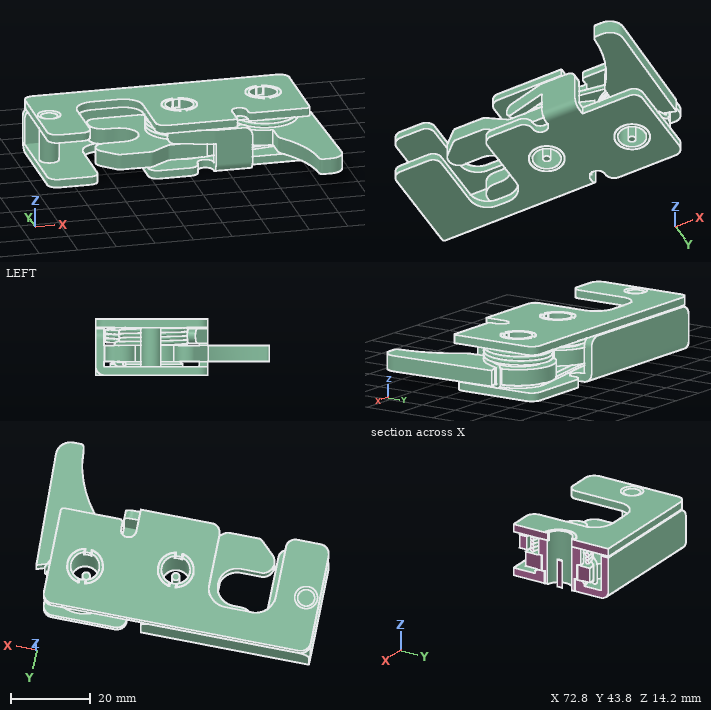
import cadquery as cq
import math


SHEET = 2.2
PLATE_LENGTH = 68.45
PLATE_DEPTH = 28.25
OVERALL_HEIGHT = 14.2
COVER_Z = OVERALL_HEIGHT - SHEET
CORNER_R = 2.55
COVER_STEP_DEPTH = 24.8
BASE_STEP_DEPTH = 24.25
SMALL_CORNER_R = 0.9

COVER_SLOT_BACK = 7.5
BASE_SLOT_BACK = 5.9
SLOT_R = 5.1
SLOT_MOUTH_R = 2.4
COVER_SLOT = (11.0, 28.0)
BASE_SLOT = (12.95, 26.15)

WALL_TOP = 11.7
WALL_RIGHT = 43.1
WALL_CORNER_R = 2.6
TAB_LEFT = 43.1
TAB_RIGHT = 52.6
TAB_CORNER_R = 2.2
INNER_BEND_R = 0.15
OUTER_BEND_R = SHEET + INNER_BEND_R
RELIEF_WIDTH = 4.1
RELIEF_LENGTH = 4.9
ARM_BOTTOM = 8.0
ARM_BEND_X = 42.4
ARM_END_X = 31.25
ARM_ANGLE = 15.2

NOTCH_LEFT = 48.7
NOTCH_BACK = 20.5

CAM_PIVOT = (37.0, -14.6)
LEVER_PIVOT = (59.6, -11.1)
PIVOTS = [CAM_PIVOT, LEVER_PIVOT]
BOSS_BASE_R = 7.4
BOSS_TOP_R = 6.7
BOSS_STRAIGHT = 0.6
BEARING_Z = 3.4
CAM_THICKNESS = 4.1
CAM_TOP = BEARING_Z + CAM_THICKNESS

BUSHING_BORE = 7.2
BUSHING_NECK = 8.9
NECK_HOLE = 9.1
BUSHING_BODY = 10.5
BODY_HOLE = 10.8
BUSHING_COLLAR = 12.7
BUSHING_SLOT = 2.05
KEY_WIDTH = 1.5

POST_AT = (3.4, -13.9)
POST_DIAMETER = 5.0
POST_NECK = 4.3
SINK_DIAMETER = 5.75
SINK_DEPTH = 0.3

PIN_DIAMETER = 2.0
PIN_POINTS = [CAM_PIVOT, (59.1, -10.35)]

HOOK_R = 4.9
HOOK_CENTRE = (21.3, -14.85)
JAW_LEFT = 15.5
JAW_BACK = 2.3
JAW_TIP_R = 3.85
JAW_BACK_R = 2.55
CAM_FRONT = 28.4
CAM_TIP_R = 1.6
CAM_STEP_R = 1.1
CAM_HUB_R = 9.1

LEVER_HUB_R = 9.6
LEVER_GAP = 0.2
LEVER_TIP_DEPTH = 43.8
LEVER_RIGHT = 72.8
LEVER_TIP_R = 3.8
LEVER_TOE_R = 0.9
LEVER_HEEL_R = 2.2
WIRE_NOTCH = 1.75

WIRE = 1.0
COIL_R = 8.2
COIL_STEP = 20.0
COIL_TURNS = 3
COIL_TOP_Z = COVER_Z - WIRE / 2
LEG_Z = CAM_TOP + WIRE / 2
HOOK_Z = (SHEET + BEARING_Z) / 2
CAM_LEG_ANGLE = 137.0
LEVER_LEG_ANGLE = -28.6
LEG_LENGTH = 5.25
HOOK_LENGTH = 2.9
HOOK_BEND_R = 0.7


def sheet_slot(left, right, back, z):
    """Striker slot with rounded inner corners and flared mouth corners, to cut from a sheet."""
    slot = (
        cq.Workplane("XY", origin=(0, 0, z))
        .moveTo(left - SLOT_MOUTH_R, -PLATE_DEPTH)
        .radiusArc((left, -PLATE_DEPTH + SLOT_MOUTH_R), -SLOT_MOUTH_R)
        .lineTo(left, -back - SLOT_R)
        .radiusArc((left + SLOT_R, -back), SLOT_R)
        .lineTo(right - SLOT_R, -back)
        .radiusArc((right, -back - SLOT_R), SLOT_R)
        .lineTo(right, -PLATE_DEPTH + SLOT_MOUTH_R)
        .radiusArc((right + SLOT_MOUTH_R, -PLATE_DEPTH), -SLOT_MOUTH_R)
        .close()
        .extrude(SHEET)
    )
    return slot


def disc(point, diameter, z, height):
    return cq.Workplane("XY", origin=(*point, z)).circle(diameter / 2).extrude(height)


def box(left, right, back, front, bottom, top):
    """Box given by its limits; back and front are depths behind the housing's back face."""
    size = (right - left, front - back, top - bottom)
    return cq.Workplane("XY").box(*size, centered=False).translate((left, -front, bottom))


def boss():
    """Raised pad under both pivots: an oblong with a straight foot and a sloping rim."""
    dx = LEVER_PIVOT[0] - CAM_PIVOT[0]
    dy = LEVER_PIVOT[1] - CAM_PIVOT[1]
    length = math.hypot(dx, dy)
    foot = (
        cq.Workplane("XY")
        .slot2D(length + 2 * BOSS_BASE_R, 2 * BOSS_BASE_R)
        .extrude(BEARING_Z - SHEET)
    )
    rim_height = BEARING_Z - SHEET - BOSS_STRAIGHT
    pad = foot.faces(">Z").chamfer(rim_height, BOSS_BASE_R - BOSS_TOP_R)
    pad = pad.rotate((0, 0, 0), (0, 0, 1), math.degrees(math.atan2(dy, dx)))
    middle = ((CAM_PIVOT[0] + LEVER_PIVOT[0]) / 2, (CAM_PIVOT[1] + LEVER_PIVOT[1]) / 2)
    return pad.translate((*middle, SHEET))


def stop_arm():
    """Arm bent inwards from the tab's left edge, with a round end."""
    angle = math.radians(ARM_ANGLE)
    height = WALL_TOP - ARM_BOTTOM
    outer_r = (TAB_LEFT - ARM_BEND_X) / math.sin(angle)
    inner_r = outer_r - SHEET
    bend_y = outer_r - PLATE_DEPTH
    length = (ARM_BEND_X - ARM_END_X) / math.cos(angle)

    def on_bend(radius, turn):
        return (TAB_LEFT - radius * math.sin(turn), bend_y - radius * math.cos(turn))

    def along_arm(radius):
        x, y = on_bend(radius, angle)
        return (x - length * math.cos(angle), y + length * math.sin(angle))

    arm = (
        cq.Workplane("XY", origin=(0, 0, ARM_BOTTOM))
        .moveTo(TAB_LEFT, -PLATE_DEPTH)
        .threePointArc(on_bend(outer_r, angle / 2), on_bend(outer_r, angle))
        .lineTo(*along_arm(outer_r))
        .lineTo(*along_arm(inner_r))
        .lineTo(*on_bend(inner_r, angle))
        .threePointArc(on_bend(inner_r, angle / 2), on_bend(inner_r, 0))
        .close()
        .extrude(height)
    )
    end_edges = cq.selectors.BoxSelector(
        (ARM_END_X - SHEET, -PLATE_DEPTH, 0), (ARM_END_X + SHEET, 0, OVERALL_HEIGHT)
    )
    return arm.edges("not |Z").edges(end_edges).fillet(0.99 * height / 2)


def bend_relief():
    """Notch beside the tab: a round inner end and a rounded outer corner."""
    left = TAB_LEFT - RELIEF_WIDTH
    round_y = -PLATE_DEPTH + RELIEF_LENGTH - RELIEF_WIDTH / 2
    return (
        cq.Workplane("XY")
        .moveTo(left - CORNER_R, -PLATE_DEPTH)
        .radiusArc((left, -PLATE_DEPTH + CORNER_R), -CORNER_R)
        .lineTo(left, round_y)
        .radiusArc((TAB_LEFT, round_y), RELIEF_WIDTH / 2)
        .lineTo(TAB_LEFT, -PLATE_DEPTH)
        .close()
        .extrude(SHEET)
    )


def round_bend(sheet, left, right, y, z, radius):
    """Round the edge of a bend that runs along X at the given y and z."""
    reach = 0.1
    edge = cq.selectors.BoxSelector(
        (left, y - reach, z - reach), (right, y + reach, z + reach)
    )
    return sheet.edges("|X").edges(edge).fillet(radius)


def make_housing():
    base = box(0, PLATE_LENGTH, 0, PLATE_DEPTH, 0, SHEET)
    base = base.cut(box(TAB_RIGHT, PLATE_LENGTH, BASE_STEP_DEPTH, PLATE_DEPTH, 0, SHEET))
    base = base.edges("|Z").edges("<X").edges("<Y").fillet(CORNER_R)
    base = base.edges("|Z").edges(">X").fillet(CORNER_R)
    base = base.cut(sheet_slot(*BASE_SLOT, BASE_SLOT_BACK, 0))
    base = base.cut(bend_relief())
    wall_relief = bend_relief().rotate((0, 0, 0), (0, 0, 1), 180)
    base = base.cut(wall_relief.translate((WALL_RIGHT + TAB_LEFT, -PLATE_DEPTH, 0)))

    wall = box(0, WALL_RIGHT, 0, SHEET, 0, WALL_TOP).edges("|Y and >Z").fillet(WALL_CORNER_R)
    tab = box(TAB_LEFT, TAB_RIGHT, PLATE_DEPTH - SHEET, PLATE_DEPTH, 0, WALL_TOP)
    tab = tab.edges("|Y and >Z and >X").fillet(TAB_CORNER_R)
    housing = base.union(wall).union(tab)

    housing = round_bend(housing, 0, WALL_RIGHT, -SHEET, SHEET, INNER_BEND_R)
    housing = round_bend(housing, 0, WALL_RIGHT, 0, 0, OUTER_BEND_R)
    housing = round_bend(housing, TAB_LEFT, TAB_RIGHT, SHEET - PLATE_DEPTH, SHEET, INNER_BEND_R)
    housing = round_bend(housing, TAB_LEFT, TAB_RIGHT, -PLATE_DEPTH, 0, OUTER_BEND_R)

    housing = housing.union(stop_arm()).union(boss())
    for pivot in PIVOTS:
        housing = housing.cut(disc(pivot, NECK_HOLE, 0, BEARING_Z))
    return housing


def make_cover():
    cover = box(0, PLATE_LENGTH, 0, PLATE_DEPTH, COVER_Z, OVERALL_HEIGHT)
    cover = cover.cut(box(TAB_RIGHT, PLATE_LENGTH, COVER_STEP_DEPTH, PLATE_DEPTH, COVER_Z, OVERALL_HEIGHT))
    cover = cover.edges("|Z and <X").fillet(CORNER_R)
    cover = cover.edges("|Z").edges(">X").edges(">Y").fillet(CORNER_R)
    cover = cover.edges("|Z").edges(">X").edges("<Y").fillet(SMALL_CORNER_R)
    cover = cover.cut(sheet_slot(*COVER_SLOT, COVER_SLOT_BACK, COVER_Z))

    notch_r = (TAB_RIGHT - NOTCH_LEFT) / 2
    notch = box(NOTCH_LEFT, TAB_RIGHT, NOTCH_BACK, PLATE_DEPTH, COVER_Z, OVERALL_HEIGHT)
    cover = cover.cut(notch.edges("|Z and >Y").fillet(notch_r * 0.99))
    step_corner = cq.selectors.BoxSelector(
        (TAB_RIGHT - 0.7, -COVER_STEP_DEPTH - 0.7, 0), (TAB_RIGHT + 0.7, -COVER_STEP_DEPTH + 0.7, OVERALL_HEIGHT)
    )
    cover = cover.edges("|Z").edges(step_corner).fillet(SMALL_CORNER_R)

    for pivot in PIVOTS:
        hole = disc(pivot, NECK_HOLE, COVER_Z, SHEET)
        keys = cq.Workplane("XY", origin=(*pivot, COVER_Z)).rect(KEY_WIDTH, NECK_HOLE).extrude(SHEET)
        keys = keys.cut(disc(pivot, BUSHING_BORE, COVER_Z, SHEET))
        cover = cover.cut(hole.cut(keys))

    cover = cover.cut(disc(POST_AT, POST_NECK, COVER_Z, SHEET))
    sink = cq.Solid.makeCone(
        POST_NECK / 2, SINK_DIAMETER / 2, SINK_DEPTH,
        pnt=cq.Vector(*POST_AT, OVERALL_HEIGHT - SINK_DEPTH),
    )
    return cover.cut(cq.Workplane(sink))


def make_post():
    post = disc(POST_AT, POST_DIAMETER, SHEET, COVER_Z - SHEET)
    return post.union(disc(POST_AT, POST_NECK, COVER_Z, SHEET - SINK_DEPTH))


def make_bushing(pivot):
    """Stepped hollow pivot, slotted at its top for the cover's keys."""
    bushing = disc(pivot, BUSHING_NECK, 0, OVERALL_HEIGHT)
    bushing = bushing.union(disc(pivot, BUSHING_BODY, BEARING_Z, COVER_Z - BEARING_Z))
    bushing = bushing.union(disc(pivot, BUSHING_COLLAR, CAM_TOP, COVER_Z - CAM_TOP))
    bushing = bushing.cut(disc(pivot, BUSHING_BORE, 0, OVERALL_HEIGHT))
    slots = cq.Workplane("XY", origin=(*pivot, COVER_Z)).rect(BUSHING_SLOT, NECK_HOLE).extrude(SHEET)
    return bushing.cut(slots)


def make_pin(point):
    return disc(point, PIN_DIAMETER, 0, CAM_TOP)


def make_cam():
    hook_x, hook_y = HOOK_CENTRE
    cam = (
        cq.Workplane("XY", origin=(0, 0, BEARING_Z))
        .moveTo(hook_x, hook_y - HOOK_R)
        .threePointArc((hook_x + HOOK_R, hook_y), (hook_x, hook_y + HOOK_R))
        .lineTo(JAW_LEFT + JAW_TIP_R, hook_y + HOOK_R)
        .radiusArc((JAW_LEFT, hook_y + HOOK_R + JAW_TIP_R), JAW_TIP_R)
        .lineTo(JAW_LEFT, -JAW_BACK - JAW_BACK_R)
        .radiusArc((JAW_LEFT + JAW_BACK_R, -JAW_BACK), JAW_BACK_R)
        .lineTo(30.2, -JAW_BACK)
        .lineTo(33.85, -5.8)
        .lineTo(45.15, -10.2)
        .lineTo(53.95, -20.3)
        .lineTo(41.65, -24.75)
        .lineTo(31.7, -24.75)
        .lineTo(26.6, -CAM_FRONT)
        .lineTo(17.9, -CAM_FRONT)
        .lineTo(14.05, -24.7)
        .threePointArc((13.3, -22.3), (15.7, hook_y - HOOK_R))
        .close()
        .extrude(CAM_THICKNESS)
    )
    step = cq.selectors.NearestToPointSelector((31.7, -24.75, BEARING_Z + CAM_THICKNESS / 2))
    cam = cam.edges("|Z").edges(step).fillet(CAM_STEP_R)
    cam = cam.edges("|Z and <Y").fillet(CAM_TIP_R)
    cam = cam.union(disc(CAM_PIVOT, 2 * CAM_HUB_R, BEARING_Z, CAM_THICKNESS))
    cam = cam.cut(disc(LEVER_PIVOT, 2 * (LEVER_HUB_R + LEVER_GAP), BEARING_Z, CAM_THICKNESS))
    return cam.cut(disc(CAM_PIVOT, BODY_HOLE, BEARING_Z, CAM_THICKNESS))


def make_lever():
    lever = (
        cq.Workplane("XY", origin=(0, 0, BEARING_Z))
        .moveTo(*LEVER_PIVOT)
        .lineTo(59.85, -26.2)
        .threePointArc((64.4, -33.85), (66.3, -LEVER_TIP_DEPTH))
        .lineTo(LEVER_RIGHT, -LEVER_TIP_DEPTH)
        .lineTo(LEVER_RIGHT, -39.7)
        .lineTo(72.0, -10.6)
        .lineTo(68.45, -11.8)
        .close()
        .extrude(CAM_THICKNESS)
    )
    heel = cq.selectors.NearestToPointSelector((59.85, -26.2, BEARING_Z + CAM_THICKNESS / 2))
    lever = lever.edges("|Z").edges(heel).fillet(LEVER_HEEL_R)
    lever = lever.edges("|Z").edges(">X").edges("<Y").fillet(LEVER_TIP_R)
    lever = lever.edges("|Z").edges("<Y").fillet(LEVER_TOE_R)
    lever = lever.union(disc(LEVER_PIVOT, 2 * LEVER_HUB_R, BEARING_Z, CAM_THICKNESS))
    hook = leg_end(LEVER_PIVOT, LEVER_LEG_ANGLE, True)
    lever = lever.cut(disc((hook.x, hook.y), WIRE_NOTCH, BEARING_Z, CAM_THICKNESS))
    return lever.cut(disc(LEVER_PIVOT, BODY_HOLE, BEARING_Z, CAM_THICKNESS))


def at_angle(pivot, angle, radius, z):
    turn = math.radians(angle)
    return cq.Vector(pivot[0] + radius * math.cos(turn), pivot[1] + radius * math.sin(turn), z)


def leg_direction(leg_angle, clockwise):
    """Direction in which the leg leaves the coil, along the coil's tangent."""
    return at_angle((0, 0), leg_angle + (90 if clockwise else -90), 1, 0)


def leg_end(pivot, leg_angle, clockwise):
    start = at_angle(pivot, leg_angle, COIL_R, LEG_Z)
    return start + leg_direction(leg_angle, clockwise) * LEG_LENGTH


def coil(pivot, leg_angle, bridge_angle, clockwise):
    """Rising coil from the leg to the bridge; it starts and ends level, in line with both."""
    turn_sign = -1 if clockwise else 1
    sweep = 360 * COIL_TURNS + turn_sign * (bridge_angle - leg_angle) % 360
    count = round(sweep / COIL_STEP)
    points = []
    for i in range(count + 1):
        share = i / count
        z = LEG_Z + (COIL_TOP_Z - LEG_Z) * share
        points.append(at_angle(pivot, leg_angle + turn_sign * sweep * share, COIL_R, z))
    leave = leg_direction(leg_angle, clockwise) * -1
    join = at_angle((0, 0), bridge_angle + turn_sign * 90, 1, 0)
    return cq.Edge.makeSpline(points, tangents=[leave, join], scale=False)


def coil_path(pivot, leg_angle, bridge_angle, clockwise):
    """Edges of one side of the spring: hook under the part, bend, leg and coil."""
    start = at_angle(pivot, leg_angle, COIL_R, LEG_Z)
    outward = leg_direction(leg_angle, clockwise)
    corner_top = leg_end(pivot, leg_angle, clockwise)
    down = cq.Vector(0, 0, -1)
    corner_bottom = cq.Vector(corner_top.x, corner_top.y, HOOK_Z)
    bend = HOOK_BEND_R
    inset = bend * (1 - math.sqrt(0.5))
    top_points = (
        corner_top - outward * bend,
        corner_top - outward * inset + down * inset,
        corner_top + down * bend,
    )
    bottom_points = (
        corner_bottom - down * bend,
        corner_bottom - outward * inset - down * inset,
        corner_bottom - outward * bend,
    )
    hook_end = corner_bottom - outward * HOOK_LENGTH
    edges = [
        cq.Edge.makeLine(hook_end, bottom_points[2]),
        cq.Edge.makeThreePointArc(*reversed(bottom_points)),
        cq.Edge.makeLine(bottom_points[0], top_points[2]),
        cq.Edge.makeThreePointArc(*reversed(top_points)),
        cq.Edge.makeLine(top_points[0], start),
        coil(pivot, leg_angle, bridge_angle, clockwise),
    ]
    return edges


def make_spring():
    """Double torsion spring: a coil round each bushing, joined by a straight bridge at the front."""
    slope = math.degrees(math.atan2(LEVER_PIVOT[1] - CAM_PIVOT[1], LEVER_PIVOT[0] - CAM_PIVOT[0]))
    bridge_angle = slope - 90
    bridge = cq.Edge.makeLine(
        at_angle(CAM_PIVOT, bridge_angle, COIL_R, COIL_TOP_Z),
        at_angle(LEVER_PIVOT, bridge_angle, COIL_R, COIL_TOP_Z),
    )
    cam_side = coil_path(CAM_PIVOT, CAM_LEG_ANGLE, bridge_angle, False)
    lever_side = coil_path(LEVER_PIVOT, LEVER_LEG_ANGLE, bridge_angle, True)
    path = cq.Wire.combine(cam_side + [bridge] + lever_side, 0.001)[0]
    first = cam_side[0]
    section = cq.Workplane(cq.Plane(first.startPoint(), normal=first.tangentAt(0))).circle(WIRE / 2)
    return section.sweep(cq.Workplane(path))


housing = make_housing()
cover = make_cover()
post = make_post()
bushings = [make_bushing(pivot) for pivot in PIVOTS]
pins = [make_pin(point) for point in PIN_POINTS]
cam = make_cam()
lever = make_lever()
spring = make_spring()

result = cq.Compound.makeCompound([
    housing.val(),
    cover.val(),
    post.val(),
    *[bushing.val() for bushing in bushings],
    *[pin.val() for pin in pins],
    cam.val(),
    lever.val(),
    spring.val(),
])